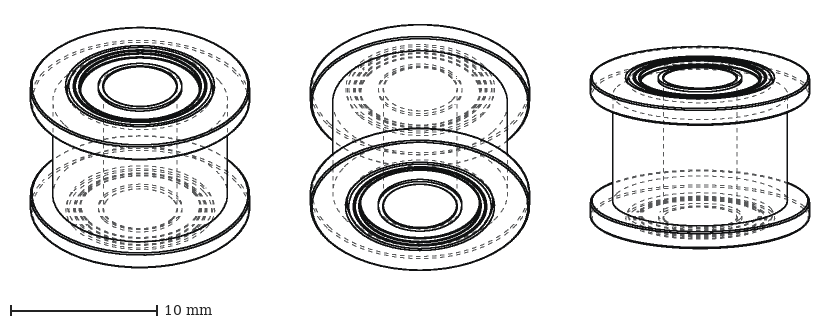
import cadquery as cq
import math

flange_radius = 7.5
barrel_radius = 5.98
height = 10.0
flange_thickness = 1.2
flange_chamfer = 0.1
half_height = height / 2

bore_radius = 2.5
bore_chamfer = 0.05
seat_radius = 5.0
seat_clearance = 0.1
bearing_edge_width = 0.12
seat_groove_depth = 0.3
shield_groove_radius = 4.5
shield_groove_width = 0.14
shield_groove_depth = 0.05
shield_lip_radius = 4.18
shield_wall_radius = 4.12
recess_floor_radius = 4.06
shield_lip_depth = 0.05
floor_step = 0.05
inner_ring_radius = 2.86
shoulder_radius = 3.75
shoulder_top_depth = 0.18
recess_depth = 0.33


def revolve_profile(profile):
    """Close a radius-height outline and revolve it about the Z axis."""
    return profile.close().revolve(360, (0, 0, 0), (0, 1, 0))


def make_spool():
    flange = cq.Workplane("XY").circle(flange_radius).extrude(flange_thickness)
    flange = flange.edges().chamfer(flange_chamfer)
    barrel = cq.Workplane("XY").circle(barrel_radius).extrude(half_height, both=True)
    lower_flange = flange.translate((0, 0, -half_height))
    upper_flange = flange.translate((0, 0, half_height - flange_thickness))
    return barrel.union(lower_flange).union(upper_flange)


def make_v_groove(outer_radius, bottom_radius, inner_radius, depth):
    """Annular V groove sunk into the top face."""
    return revolve_profile(
        cq.Workplane("XZ")
        .moveTo(outer_radius, half_height)
        .lineTo(bottom_radius, half_height - depth)
        .lineTo(inner_radius, half_height)
    )


def make_race_recess():
    """Recess between the shield and inner ring, with a rounded shoulder as its floor."""
    width = shoulder_radius - inner_ring_radius
    drop = recess_depth - shoulder_top_depth
    arc_radius = (width**2 + drop**2) / (2 * drop)
    half_angle = math.asin(width / arc_radius) / 2
    arc_middle = (
        inner_ring_radius + arc_radius * math.sin(half_angle),
        half_height - shoulder_top_depth - arc_radius * (1 - math.cos(half_angle)),
    )
    return revolve_profile(
        cq.Workplane("XZ")
        .moveTo(inner_ring_radius, half_height)
        .lineTo(inner_ring_radius, half_height - shoulder_top_depth)
        .threePointArc(arc_middle, (shoulder_radius, half_height - recess_depth))
        .lineTo(recess_floor_radius, half_height - recess_depth)
        .lineTo(recess_floor_radius, half_height - recess_depth + floor_step)
        .lineTo(shield_wall_radius, half_height - recess_depth + floor_step)
        .lineTo(shield_wall_radius, half_height - shield_lip_depth)
        .lineTo(shield_lip_radius, half_height - shield_lip_depth)
        .lineTo(shield_lip_radius, half_height)
    )


def make_bore():
    return revolve_profile(
        cq.Workplane("XZ")
        .moveTo(0, -half_height)
        .lineTo(bore_radius + bore_chamfer, -half_height)
        .lineTo(bore_radius, -half_height + bore_chamfer)
        .lineTo(bore_radius, half_height - bore_chamfer)
        .lineTo(bore_radius + bore_chamfer, half_height)
        .lineTo(0, half_height)
    )


seat_groove = make_v_groove(
    seat_radius + seat_clearance,
    seat_radius,
    seat_radius - bearing_edge_width,
    seat_groove_depth,
)
shield_groove = make_v_groove(
    shield_groove_radius + shield_groove_width / 2,
    shield_groove_radius,
    shield_groove_radius - shield_groove_width / 2,
    shield_groove_depth,
)
end_cutters = [seat_groove, shield_groove, make_race_recess()]

result = make_spool().cut(make_bore())
for cutter in end_cutters:
    result = result.cut(cutter).cut(cutter.mirror("XY"))